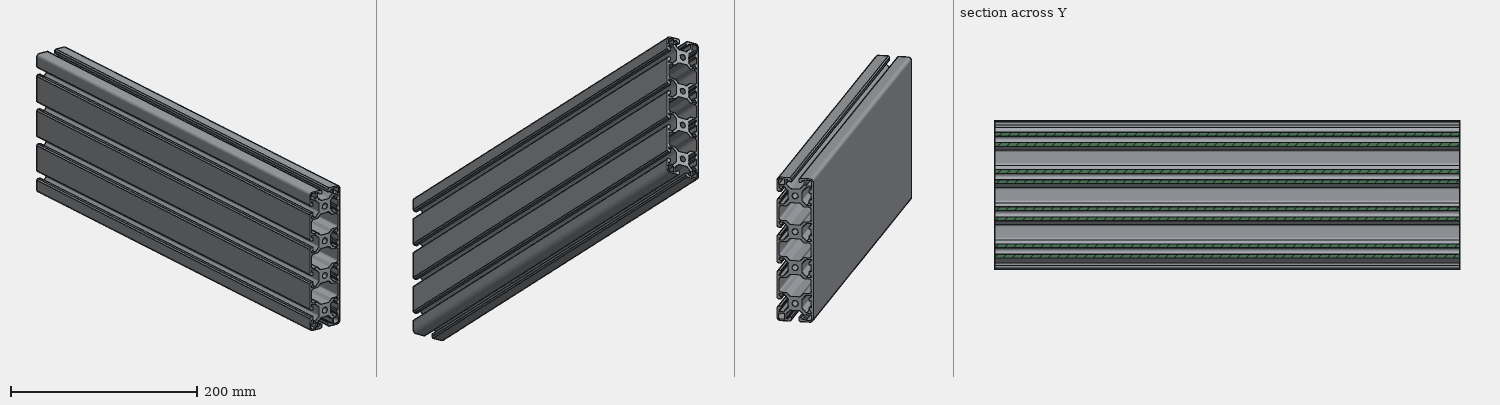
import cadquery as cq

LENGTH = 500.0
PITCH = 40.0
MODULES = 4
DEPTH = PITCH
HEIGHT = MODULES * PITCH
CORNER_RADIUS = 4.0

WALL = 2.5
CORE_WIDTH = 15.5
CORE_HALF = CORE_WIDTH / 2
BORE_RADIUS = 3.25

MOUTH_HALF = 4.0
MOUTH_BEVEL = 1.5
LIP_DEPTH = 4.5
LIP_LAND = 2.5
SLOT_HALF = 10.0
FLOOR_DEPTH = PITCH / 2 - CORE_HALF
FLOOR_HALF = 5.0
FLOOR_FILLET = 1.0
FLANK_DEPTH = FLOOR_DEPTH - (SLOT_HALF - FLOOR_HALF)
CLOSED_GROOVE_HALF = 3.5

WEB = 1.75
WEB_OUTER = SLOT_HALF + WEB
POCKET_WALL = 1.75
POCKET_FILLET = CORNER_RADIUS - POCKET_WALL
CHAMBER_HALF = DEPTH / 2 - WALL
CHAMBER_FLOOR_HALF = 5.5
CHAMBER_SHOULDER = CHAMBER_FLOOR_HALF + WEB_OUTER - CORE_HALF
CHAMBER_FILLET = 2.5

module_heights = [(i - (MODULES - 1) / 2) * PITCH for i in range(MODULES)]


def extrude_outline(points):
    """Extrude a closed outline of (y, z) points along the full length."""
    return cq.Workplane("YZ").polyline(points).close().extrude(LENGTH)


def slot_outline(mouth):
    """Symmetric slot outline as (sideways, inward) points, from one half of its mouth."""
    half = mouth + [
        (MOUTH_HALF + LIP_LAND, LIP_DEPTH),
        (MOUTH_HALF + LIP_LAND + LIP_DEPTH - WALL, WALL),
        (SLOT_HALF, WALL),
        (SLOT_HALF, FLANK_DEPTH),
        (FLOOR_HALF, FLOOR_DEPTH),
    ]
    return half + [(-side, inward) for side, inward in reversed(half)]


def open_slot_outline():
    return slot_outline([
        (MOUTH_HALF + MOUTH_BEVEL, 0),
        (MOUTH_HALF, MOUTH_BEVEL),
        (MOUTH_HALF, LIP_DEPTH),
    ])


def closed_slot_outline():
    return slot_outline([
        (CLOSED_GROOVE_HALF, WALL),
        (MOUTH_HALF, LIP_DEPTH),
    ])


def slot_body(outline):
    """Slot along X, lying in the +Z face of a module centred on the X axis."""
    slot = extrude_outline([(side, PITCH / 2 - inward) for side, inward in outline])
    return slot.edges("|X and <Z").fillet(FLOOR_FILLET)


def turned(slot, angle, z):
    """Turn a slot about the X axis and move it to the module at height z."""
    return slot.rotate((0, 0, 0), (1, 0, 0), angle).translate((0, 0, z))


def chamber(z):
    """Hollow between two neighbouring modules, centred on height z."""
    web_face = PITCH / 2 - WEB_OUTER
    core_face = PITCH / 2 - CORE_HALF
    upper = [
        (CHAMBER_HALF, web_face),
        (CHAMBER_SHOULDER, web_face),
        (CHAMBER_FLOOR_HALF, core_face),
        (-CHAMBER_FLOOR_HALF, core_face),
        (-CHAMBER_SHOULDER, web_face),
        (-CHAMBER_HALF, web_face),
    ]
    outline = [(y, z + up) for y, up in upper] + [(y, z - up) for y, up in reversed(upper)]
    return extrude_outline(outline).edges("|X").fillet(CHAMBER_FILLET)


def corner_pockets():
    """Square hollows, rounded on their outermost edge, in the four outer corners."""
    start = WEB_OUTER
    module = module_heights[-1]
    end = PITCH / 2 - POCKET_WALL
    pocket = extrude_outline([
        (start, module + start),
        (end, module + start),
        (end, module + end),
        (start, module + end),
    ])
    pocket = pocket.edges("(>Y and >Z) and |X").fillet(POCKET_FILLET)
    pair = pocket.union(pocket.mirror("XZ"))
    return pair.union(pair.mirror("XY"))


def bores():
    """Round hole through the core of every module."""
    centres = [(0, z) for z in module_heights]
    return cq.Workplane("YZ").pushPoints(centres).circle(BORE_RADIUS).extrude(LENGTH)


bar = cq.Workplane("YZ").rect(DEPTH, HEIGHT).extrude(LENGTH).edges("|X").fillet(CORNER_RADIUS)
bar = bar.cut(bores()).cut(corner_pockets())
open_slot = slot_body(open_slot_outline())
closed_slot = slot_body(closed_slot_outline())
bar = bar.cut(turned(open_slot, 0, module_heights[-1]))
bar = bar.cut(turned(open_slot, 180, module_heights[0]))
for z in module_heights:
    bar = bar.cut(turned(open_slot, 90, z))
    bar = bar.cut(turned(closed_slot, -90, z))
for z in module_heights[:-1]:
    bar = bar.cut(chamber(z + PITCH / 2))

result = bar.translate((-LENGTH / 2, 0, 0))